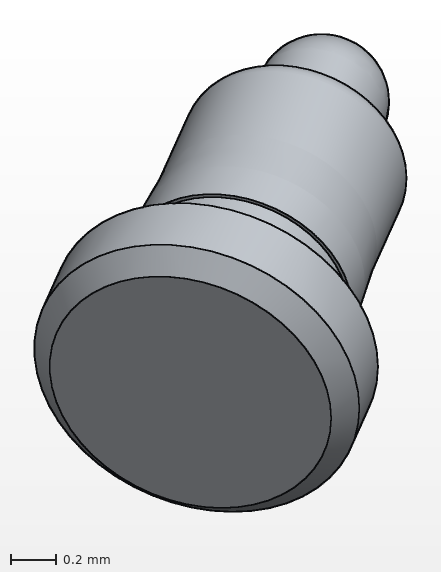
import cadquery as cq

total_length = 2.4
flange_radius = 0.75
flange_length = 0.4
flange_chamfer = 0.1
body_radius = 0.514
body_end = 1.78
body_fillet = 0.12
band_radius = 0.53
band_start = 0.75
band_end = 0.95
taper_end = 1.2
plunger_radius = 0.3


def cylinder(radius, start, end):
    """Cylinder along +Y, with distances measured from the flange face."""
    return (
        cq.Workplane("XZ", origin=(0, start - total_length / 2, 0))
        .circle(radius)
        .extrude(start - end)
    )


def make_flange():
    return cylinder(flange_radius, 0, flange_length).faces("<Y").edges().chamfer(flange_chamfer)


def make_body():
    return cylinder(body_radius, 0, body_end).faces(">Y").edges().fillet(body_fillet)


def make_band():
    """Press-fit band whose lead-in taper runs down to the body surface."""
    profile = (
        cq.Workplane("XY", origin=(0, -total_length / 2, 0))
        .moveTo(0, band_start)
        .lineTo(band_radius, band_start)
        .lineTo(band_radius, band_end)
        .lineTo(body_radius, taper_end)
        .lineTo(0, taper_end)
        .close()
    )
    return profile.revolve(360, (0, 0, 0), (0, 1, 0))


def make_plunger():
    """Plunger with a full hemispherical tip."""
    shank_end = total_length - plunger_radius
    tip = cq.Workplane("XY", origin=(0, shank_end - total_length / 2, 0)).sphere(plunger_radius)
    return cylinder(plunger_radius, 0, shank_end).union(tip)


result = make_flange().union(make_body()).union(make_band()).union(make_plunger())